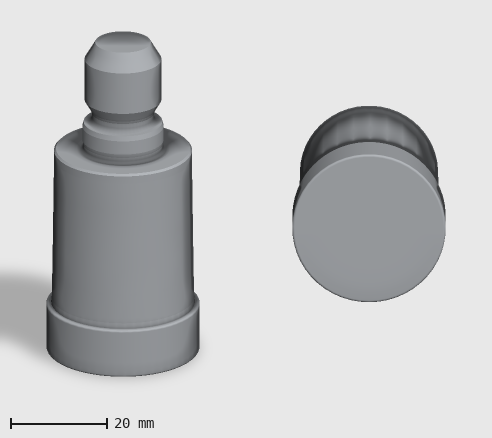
import cadquery as cq
import math

TOTAL_HEIGHT = 69.0

CAP_RADIUS = 31.95 / 2
CAP_HEIGHT = 10.55
CAP_TOP_SLOPE = 8.0
CAP_TOP_ROUND = 0.4
CAP_BOTTOM_ROUND = 0.5

BARREL_BASE_RADIUS = 15.0
BARREL_STEP_RADIUS = 14.9
BARREL_TAPER_RADIUS = 14.85
BARREL_TOP_RADIUS = 28.8 / 2
BARREL_STEP_Z = 11.1
BARREL_TAPER_START_Z = 11.7
BARREL_TAPER_END_Z = 43.0
BARREL_TOP_Z = 45.05
BARREL_CHAMFER = 0.4

UNDERCUT_RADIUS = 16.6 / 2
UNDERCUT_RIM_RADIUS = 9.7
UNDERCUT_FILLET = 0.6
UNDERCUT_SLOPE = 8.0
UNDERCUT_TOP_Z = 46.3

COLLAR_RADIUS = 17.0 / 2
COLLAR_BOTTOM_Z = 47.1
COLLAR_TOP_Z = 51.1
COLLAR_LEAD_HEIGHT = 1.05
COLLAR_LEAD_DEPTH = 0.3

NECK_RADIUS = 13.0 / 2
NECK_FILLET = 1.05
NECK_TOP_Z = 53.2
NECK_RELIEF_HEIGHT = 0.6

HEAD_RADIUS = 16.0 / 2
HEAD_BOTTOM_Z = 56.1
HEAD_TOP_Z = 65.2
TIP_RADIUS = 5.8
HEAD_CONE_ANGLE = 30.0


def slope_drop(run, angle):
    """Height lost over a radial run on a cone of the given slope."""
    return run * math.tan(math.radians(angle))


def revolve_profile(profile):
    """Turn a closed (radius, height) outline around the Z axis."""
    return profile.close().revolve(360, (0, 0, 0), (0, 1, 0))


def make_cap():
    shoulder_drop = slope_drop(CAP_RADIUS - BARREL_BASE_RADIUS, CAP_TOP_SLOPE)
    shoulder_z = CAP_HEIGHT - shoulder_drop
    cap = revolve_profile(
        cq.Workplane("XZ")
        .lineTo(CAP_RADIUS, 0)
        .lineTo(CAP_RADIUS, shoulder_z)
        .lineTo(BARREL_BASE_RADIUS, CAP_HEIGHT)
        .lineTo(0, CAP_HEIGHT)
    )
    top_rim = cq.selectors.BoxSelector(
        (-2 * CAP_RADIUS, -2 * CAP_RADIUS, shoulder_z - shoulder_drop / 2),
        (2 * CAP_RADIUS, 2 * CAP_RADIUS, shoulder_z + shoulder_drop / 2),
        boundingbox=True,
    )
    cap = cap.edges(top_rim).fillet(CAP_TOP_ROUND)
    return cap.faces("<Z").edges().fillet(CAP_BOTTOM_ROUND)


def make_plunger():
    fillet_end_radius = UNDERCUT_RADIUS + UNDERCUT_FILLET
    undercut_floor_z = BARREL_TOP_Z - slope_drop(UNDERCUT_RIM_RADIUS - fillet_end_radius, UNDERCUT_SLOPE)
    head_cone_bottom_z = NECK_TOP_Z + NECK_RELIEF_HEIGHT
    head_cone_height = HEAD_BOTTOM_Z - head_cone_bottom_z
    head_cone_radius = HEAD_RADIUS - slope_drop(head_cone_height, HEAD_CONE_ANGLE)

    profile = cq.Workplane("XZ").moveTo(0, CAP_HEIGHT)
    profile = (
        profile.lineTo(BARREL_BASE_RADIUS, CAP_HEIGHT)
        .lineTo(BARREL_STEP_RADIUS, BARREL_STEP_Z)
        .lineTo(BARREL_TAPER_RADIUS, BARREL_TAPER_START_Z)
        .lineTo(BARREL_TOP_RADIUS, BARREL_TAPER_END_Z)
        .lineTo(BARREL_TOP_RADIUS, BARREL_TOP_Z - BARREL_CHAMFER)
        .lineTo(BARREL_TOP_RADIUS - BARREL_CHAMFER, BARREL_TOP_Z)
    )
    profile = (
        profile.lineTo(UNDERCUT_RIM_RADIUS, BARREL_TOP_Z)
        .lineTo(fillet_end_radius, undercut_floor_z)
        .radiusArc((UNDERCUT_RADIUS, undercut_floor_z + UNDERCUT_FILLET), UNDERCUT_FILLET)
        .lineTo(UNDERCUT_RADIUS, UNDERCUT_TOP_Z)
    )
    profile = (
        profile.lineTo(COLLAR_RADIUS, COLLAR_BOTTOM_Z)
        .lineTo(COLLAR_RADIUS, COLLAR_TOP_Z - COLLAR_LEAD_HEIGHT)
        .lineTo(COLLAR_RADIUS - COLLAR_LEAD_DEPTH, COLLAR_TOP_Z)
    )
    profile = (
        profile.lineTo(NECK_RADIUS + NECK_FILLET, COLLAR_TOP_Z)
        .radiusArc((NECK_RADIUS, COLLAR_TOP_Z + NECK_FILLET), NECK_FILLET)
        .lineTo(NECK_RADIUS, NECK_TOP_Z)
        .lineTo(head_cone_radius, head_cone_bottom_z)
    )
    profile = (
        profile.lineTo(HEAD_RADIUS, HEAD_BOTTOM_Z)
        .lineTo(HEAD_RADIUS, HEAD_TOP_Z)
        .lineTo(TIP_RADIUS, TOTAL_HEIGHT)
        .lineTo(0, TOTAL_HEIGHT)
    )
    return revolve_profile(profile)


cap = make_cap()
plunger = make_plunger()
result = cq.Compound.makeCompound([cap.val(), plunger.val()])